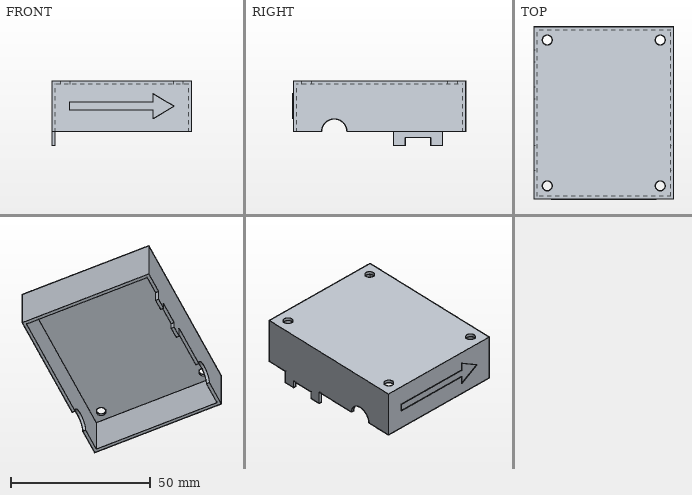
import cadquery as cq

cover_length = 50.05
arrow_relief = 0.2
overall_width = 62
cover_width = overall_width - arrow_relief
cover_height = 18.2
overall_height = 23.25
wall = 1.2

screw_hole_diameter = 3.5
screw_hole_inset = 4.8

pipe_diameter = 9.0
pipe_inset = 14.7

tab_drop = overall_height - cover_height
tab_width = 17.6
tab_inset = 8.3
tab_slot_width = 9.0
tab_slot_depth = 2.9

arrow_length = 37.5
arrow_head_length = 7.55
arrow_head_width = 9.0
arrow_shaft_width = 2.85


def make_shell():
    outer = cq.Workplane("XY").box(cover_length, cover_width, cover_height, centered=(True, True, False))
    return outer.faces("<Z").shell(-wall)


def make_screw_holes():
    return (
        cq.Workplane("XY")
        .rect(cover_length - 2 * screw_hole_inset, cover_width - 2 * screw_hole_inset, forConstruction=True)
        .vertices()
        .circle(screw_hole_diameter / 2)
        .extrude(cover_height)
    )


def make_pipe_cutter():
    pipe_y = pipe_inset - cover_width / 2
    return (
        cq.Workplane("YZ")
        .center(pipe_y, 0)
        .circle(pipe_diameter / 2)
        .extrude(cover_length / 2, both=True)
    )


def make_tab():
    tab_y = cover_width / 2 - tab_inset - tab_width / 2
    tab_foot = cq.Workplane("XY", origin=(-cover_length / 2 + wall / 2, tab_y, -tab_drop))
    blade = tab_foot.box(wall, tab_width, tab_drop, centered=(True, True, False))
    slot = tab_foot.box(wall, tab_slot_width, tab_slot_depth, centered=(True, True, False))
    return blade.cut(slot)


def make_arrow():
    tail_x = -arrow_length / 2
    tip_x = arrow_length / 2
    neck_x = tip_x - arrow_head_length
    half_shaft = arrow_shaft_width / 2
    half_head = arrow_head_width / 2
    face = cq.Workplane("XZ", origin=(0, -cover_width / 2, cover_height / 2))
    return (
        face.moveTo(tail_x, -half_shaft)
        .lineTo(neck_x, -half_shaft)
        .lineTo(neck_x, -half_head)
        .lineTo(tip_x, 0)
        .lineTo(neck_x, half_head)
        .lineTo(neck_x, half_shaft)
        .lineTo(tail_x, half_shaft)
        .close()
        .extrude(arrow_relief)
    )


result = (
    make_shell()
    .cut(make_screw_holes())
    .cut(make_pipe_cutter())
    .union(make_tab())
    .union(make_arrow())
)